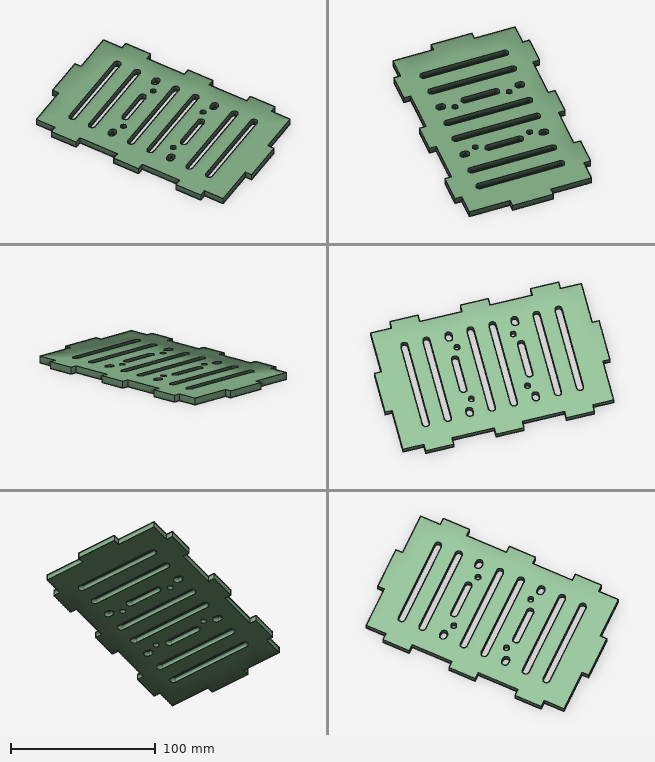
import cadquery as cq

length = 160.0
width = 100.0
thickness = 5.0

tab_depth = thickness
long_edge_tab = 20.0
long_edge_tab_pitch = 50.0
short_edge_tab = 30.0

slot_count = 8
slot_pitch = 15.7
slot_width = 5.0
slot_length = 65.0
interrupted_slots = (2, 5)
middle_slot_length = 28.0
end_slot_length = 6.7

hole_diameter = 4.0
hole_spacing = 40.0


def make_plate():
    """Rectangular panel with three tabs per long edge and one per short edge."""
    body_length = length - 2 * tab_depth
    body_width = width - 2 * tab_depth
    plate = cq.Workplane("XY").box(body_length, body_width, thickness)
    plate = plate.union(cq.Workplane("XY").box(length, short_edge_tab, thickness))
    for column in (-1, 0, 1):
        bar = cq.Workplane("XY").box(long_edge_tab, width, thickness)
        plate = plate.union(bar.translate((column * long_edge_tab_pitch, 0, 0)))
    return plate


def cut_slots(plate, points, overall_length):
    """Cut round-ended through slots running along Y."""
    return (
        plate.faces(">Z").workplane(origin=(0, 0, 0))
        .pushPoints(points)
        .slot2D(overall_length, slot_width, angle=90)
        .cutThruAll()
    )


slot_x = [(i - (slot_count - 1) / 2) * slot_pitch for i in range(slot_count)]
full_x = [x for i, x in enumerate(slot_x) if i not in interrupted_slots]
interrupted_x = [slot_x[i] for i in interrupted_slots]
end_slot_y = (slot_length - end_slot_length) / 2

result = make_plate()
result = cut_slots(result, [(x, 0) for x in full_x], slot_length)

result = cut_slots(result, [(x, 0) for x in interrupted_x], middle_slot_length)
end_points = [(x, side * end_slot_y) for x in interrupted_x for side in (-1, 1)]
result = cut_slots(result, end_points, end_slot_length)

result = (
    result.faces(">Z").workplane(origin=(0, 0, 0))
    .rarray(hole_spacing, hole_spacing, 2, 2)
    .hole(hole_diameter)
)